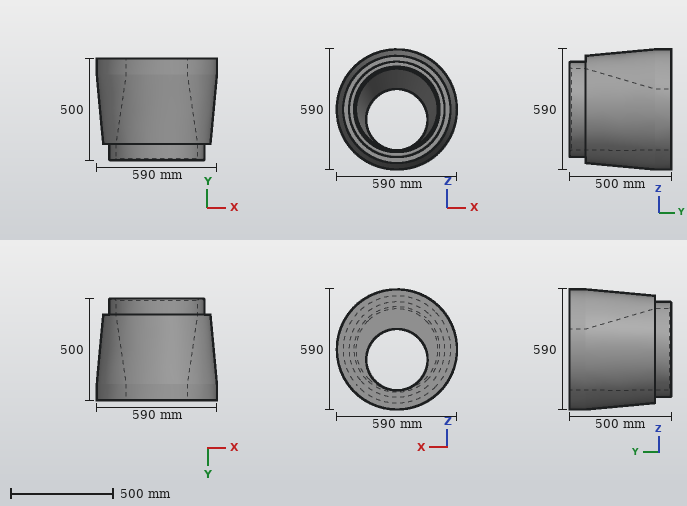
import cadquery as cq

outer_radius = 295.0
total_length = 500.0
rear_band_length = 79.5
taper_end_radius = 263.0
spigot_radius = 234.0
spigot_length = 79.5
spigot_edge_radius = 10.0

wide_bore_radius = 200.0
narrow_bore_radius = 150.0
bore_drop = wide_bore_radius - narrow_bore_radius
wide_bore_length = spigot_length
narrow_bore_length = rear_band_length
mouth_chamfer = 10.0

front_y = 0.0
shoulder_y = front_y + spigot_length
rear_y = front_y + total_length
band_y = rear_y - rear_band_length
bore_taper_start_y = front_y + wide_bore_length
bore_taper_end_y = rear_y - narrow_bore_length


def circle_wire(radius, y, z):
    """Circle about a line parallel to Y, centred at height z."""
    return cq.Wire.makeCircle(radius, cq.Vector(0, y, z), cq.Vector(0, 1, 0))


def cylinder_along_y(radius, start_y, end_y, z):
    """Solid cylinder parallel to Y between two stations."""
    start = cq.Vector(0, start_y, z)
    return cq.Solid.makeCylinder(radius, end_y - start_y, start, cq.Vector(0, 1, 0))


def make_body():
    """Rear band, tapered middle and spigot with a rounded front edge."""
    profile = [
        (0, front_y),
        (spigot_radius, front_y),
        (spigot_radius, shoulder_y),
        (taper_end_radius, shoulder_y),
        (outer_radius, band_y),
        (outer_radius, rear_y),
        (0, rear_y),
    ]
    body = cq.Workplane("XY").polyline(profile).close().revolve(360, (0, 0, 0), (0, 1, 0))
    return body.faces("<Y").edges().fillet(spigot_edge_radius)


def make_bore():
    """Wide cylinder, slanting cone and narrow cylinder joined end to end."""
    wide = cylinder_along_y(wide_bore_radius, front_y, bore_taper_start_y, 0)
    cone = cq.Solid.makeLoft(
        [
            circle_wire(wide_bore_radius, bore_taper_start_y, 0),
            circle_wire(narrow_bore_radius, bore_taper_end_y, -bore_drop),
        ],
        True,
    )
    narrow = cylinder_along_y(narrow_bore_radius, bore_taper_end_y, rear_y, -bore_drop)
    return [wide, cone, narrow]


def make_mouth_chamfer():
    """Conical lead-in at the spigot face."""
    return cq.Solid.makeCone(
        wide_bore_radius + mouth_chamfer,
        wide_bore_radius,
        mouth_chamfer,
        cq.Vector(0, front_y, 0),
        cq.Vector(0, 1, 0),
    )


result = make_body()
for bore_part in make_bore():
    result = result.cut(cq.Workplane(bore_part))
result = result.cut(cq.Workplane(make_mouth_chamfer()))